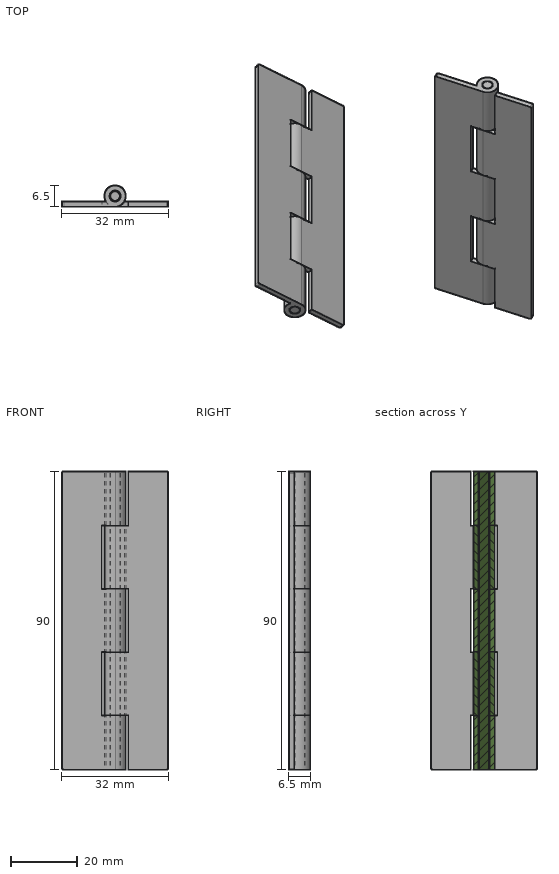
import cadquery as cq

HINGE_LENGTH = 90.0
HINGE_WIDTH = 32.0
BARREL_DIAMETER = 6.5
PIN_DIAMETER = 3.0
PLATE_THICKNESS = 1.6
CORNER_RADIUS = 0.5
NOTCH_DEPTH = 4.0
END_KNUCKLE_LENGTH = 16.4
INNER_KNUCKLE_COUNT = 3

BARREL_RADIUS = BARREL_DIAMETER / 2
BORE_RADIUS = BARREL_RADIUS - PLATE_THICKNESS
LEAF_WIDTH = HINGE_WIDTH / 2
INNER_KNUCKLE_LENGTH = (HINGE_LENGTH - 2 * END_KNUCKLE_LENGTH) / INNER_KNUCKLE_COUNT

KNUCKLE_LEVELS = [0.0]
for joint in range(INNER_KNUCKLE_COUNT + 1):
    KNUCKLE_LEVELS.append(END_KNUCKLE_LENGTH + joint * INNER_KNUCKLE_LENGTH)
KNUCKLE_LEVELS.append(HINGE_LENGTH)
KNUCKLE_SPANS = list(zip(KNUCKLE_LEVELS[:-1], KNUCKLE_LEVELS[1:]))

LEFT_SPANS = KNUCKLE_SPANS[0::2]
RIGHT_SPANS = KNUCKLE_SPANS[1::2]


def make_knuckle(side, bottom, top):
    """Barrel section with the strip of plate that runs into it tangentially."""
    length = top - bottom
    barrel = cq.Workplane("XY").workplane(offset=bottom).circle(BARREL_RADIUS).extrude(length)
    strip = (
        cq.Workplane("XY")
        .box(NOTCH_DEPTH, PLATE_THICKNESS, length, centered=(True, False, False))
        .translate((side * NOTCH_DEPTH / 2, -BARREL_RADIUS, bottom))
    )
    return barrel.union(strip)


def make_leaf(side, spans):
    """Flat plate on one side of the axis (-1 left, +1 right) with its knuckles."""
    plate_width = LEAF_WIDTH - NOTCH_DEPTH
    outer_side = "<X" if side < 0 else ">X"
    leaf = (
        cq.Workplane("XY")
        .box(plate_width, PLATE_THICKNESS, HINGE_LENGTH, centered=(True, False, False))
        .translate((side * (NOTCH_DEPTH + plate_width / 2), -BARREL_RADIUS, 0))
        .faces(outer_side)
        .edges("|Y")
        .fillet(CORNER_RADIUS)
    )
    for bottom, top in spans:
        leaf = leaf.union(make_knuckle(side, bottom, top))
    pin_hole = cq.Workplane("XY").circle(BORE_RADIUS).extrude(HINGE_LENGTH)
    return leaf.cut(pin_hole)


def make_pin():
    """Plain pin, flush with both ends of the barrel."""
    return cq.Workplane("XY").circle(PIN_DIAMETER / 2).extrude(HINGE_LENGTH)


left_leaf = make_leaf(-1, LEFT_SPANS)
right_leaf = make_leaf(1, RIGHT_SPANS)
pin = make_pin()

result = cq.Compound.makeCompound([left_leaf.val(), right_leaf.val(), pin.val()])